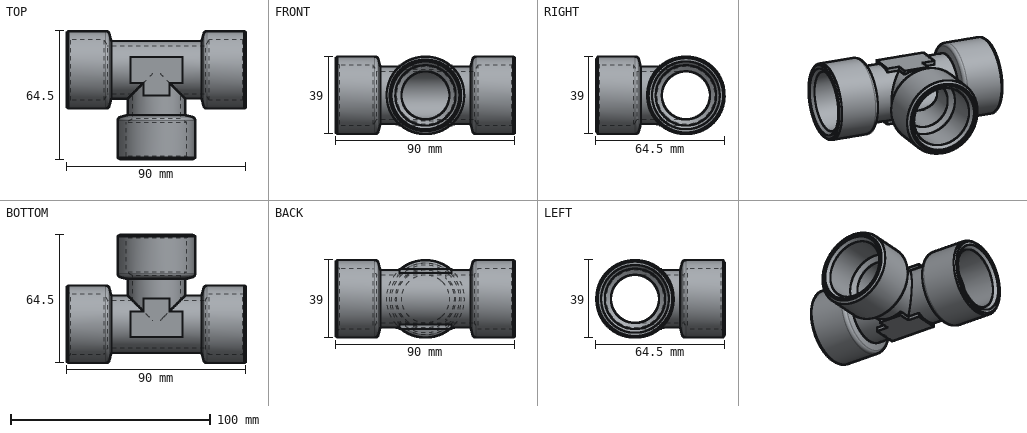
import cadquery as cq
import math

arm_length = 45.0

pipe_diameter = 29.0
passage_diameter = 24.0
socket_diameter = 39.0
socket_length = 22.4
shoulder_angle = 15.0
shoulder_fillet = 2.0

bore_diameter = 30.3
bore_depth = 18.7
bore_bottom_length = 1.8
mouth_diameter = 34.0
mouth_depth = 1.8

rim_chamfer_length = 1.0
run_rim_chamfer = 0.8
branch_rim_chamfer = 1.5

pad_reach = 13.0
pad_half_width = pad_reach / 2
pad_height = pipe_diameter / 2 + 0.5


def arm_profile_plane(direction):
    """Sketch plane whose x is the radius and whose y is the distance along the arm."""
    upward = cq.Vector(0, 0, 1)
    return cq.Plane(origin=(0, 0, 0), xDir=upward, normal=upward.cross(direction))


def make_arm(direction, rim_chamfer):
    """Pipe from the crossing outward, with a socket at its open end."""
    pipe_radius = pipe_diameter / 2
    socket_radius = socket_diameter / 2
    shoulder_start = arm_length - socket_length
    slope = math.radians(shoulder_angle)
    shoulder_corner = shoulder_start + (socket_radius - pipe_radius) * math.tan(slope)

    middle_angle = (math.pi / 2 - slope) / 2
    tangent_length = shoulder_fillet * math.tan(middle_angle)
    fillet_center = (socket_radius - shoulder_fillet, shoulder_corner + tangent_length)

    def fillet_point(angle):
        return (
            fillet_center[0] + shoulder_fillet * math.cos(angle),
            fillet_center[1] - shoulder_fillet * math.sin(angle),
        )

    return (
        cq.Workplane(arm_profile_plane(direction))
        .lineTo(pipe_radius, 0)
        .lineTo(pipe_radius, shoulder_start)
        .lineTo(*fillet_point(2 * middle_angle))
        .threePointArc(fillet_point(middle_angle), fillet_point(0))
        .lineTo(socket_radius, arm_length - rim_chamfer_length)
        .lineTo(socket_radius - rim_chamfer, arm_length)
        .lineTo(0, arm_length)
        .close()
        .revolve(360, (0, 0, 0), (0, 1, 0))
    )


def make_cavity(direction):
    """Passage, conical bore bottom, bore and flared mouth of one arm."""
    bore_end = arm_length - bore_depth
    return (
        cq.Workplane(arm_profile_plane(direction))
        .lineTo(passage_diameter / 2, 0)
        .lineTo(passage_diameter / 2, bore_end - bore_bottom_length)
        .lineTo(bore_diameter / 2, bore_end)
        .lineTo(bore_diameter / 2, arm_length - mouth_depth)
        .lineTo(mouth_diameter / 2, arm_length)
        .lineTo(0, arm_length)
        .close()
        .revolve(360, (0, 0, 0), (0, 1, 0))
    )


def make_pads():
    """T-shaped prism through the crossing whose two ends form the pads."""
    size_z = 2 * pad_height
    bar = cq.Workplane("XY").box(2 * pad_reach, 2 * pad_half_width, size_z)
    stem = (
        cq.Workplane("XY")
        .box(2 * pad_half_width, pad_reach, size_z)
        .translate((0, -pad_reach / 2, 0))
    )
    return bar.union(stem)


arms = [
    (cq.Vector(-1, 0, 0), run_rim_chamfer),
    (cq.Vector(1, 0, 0), run_rim_chamfer),
    (cq.Vector(0, -1, 0), branch_rim_chamfer),
]

result = make_pads()
for direction, rim_chamfer in arms:
    result = result.union(make_arm(direction, rim_chamfer))
for direction, _ in arms:
    result = result.cut(make_cavity(direction))